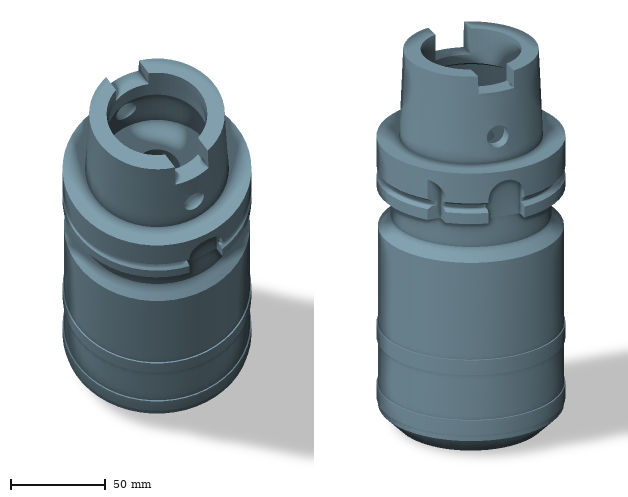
import cadquery as cq
import math

TOTAL_LENGTH = 215.0
NOSE_BEVEL_HEIGHT = 9.9
BODY_TOP_Z = 113.0
NECK_START_Z = 119.3
FLANGE_BOTTOM_Z = 135.9
FLANGE_TOP_Z = 165.1

NOSE_RADIUS = 39.3
BODY_RADIUS = 49.2
NECK_RADIUS = 42.5
FLANGE_DIAMETER = 100.0
FLANGE_RADIUS = FLANGE_DIAMETER / 2
SHANK_BASE_RADIUS = 38.0
SHANK_TOP_RADIUS = 36.0

BAND_RADIUS = FLANGE_RADIUS
BAND_HEIGHT = 8.5
BAND_BOTTOMS = (13.5, 48.4)

GROOVE_RADIUS = 46.0
GROOVE_MID_Z = 145.0
GROOVE_FLOOR_WIDTH = 2.8
GROOVE_MOUTH_WIDTH = 5.8
GROOVE_BEVEL_DEPTH = 2.0

ENTRY_RADIUS = 26.7
ENTRY_DEPTH = 20.0
UNDERCUT_RADIUS = 31.4
UNDERCUT_ANGLE = 30.0
BORE_FLOOR_Z = FLANGE_TOP_Z
POCKET_RADIUS = 12.3
POCKET_DEPTH = 21.5
THROUGH_RADIUS = 6.2

KEY_WIDTH = 20.5
SHALLOW_SLOT_DEPTH = 9.9
DEEP_SLOT_DEPTH = 15.0
ACCESS_RADIUS = 6.2
ACCESS_Z = 179.7

KEYWAY_TOP_Z = 159.7
KEYWAY_FLOOR_X = 43.0
INDEX_FLOOR_X = 32.2
INDEX_CENTER_Y = 41.0


def revolve(outline):
    """Turn an outline of (radius, height) points about the Z axis."""
    return cq.Workplane("XZ").polyline(outline).close().revolve(360, (0, 0), (0, 1))


def outer_body():
    outline = [
        (0, 0),
        (NOSE_RADIUS, 0),
        (BODY_RADIUS, NOSE_BEVEL_HEIGHT),
        (BODY_RADIUS, BODY_TOP_Z),
        (NECK_RADIUS, NECK_START_Z),
        (NECK_RADIUS, FLANGE_BOTTOM_Z),
        (FLANGE_RADIUS, FLANGE_BOTTOM_Z),
        (FLANGE_RADIUS, FLANGE_TOP_Z),
        (SHANK_BASE_RADIUS, FLANGE_TOP_Z),
        (SHANK_TOP_RADIUS, TOTAL_LENGTH),
        (0, TOTAL_LENGTH),
    ]
    return revolve(outline)


def band(bottom_z):
    return cq.Workplane("XY").workplane(offset=bottom_z).circle(BAND_RADIUS).extrude(BAND_HEIGHT)


def gripper_groove():
    half_floor = GROOVE_FLOOR_WIDTH / 2
    half_mouth = GROOVE_MOUTH_WIDTH / 2
    bevel_radius = FLANGE_RADIUS - GROOVE_BEVEL_DEPTH
    return revolve([
        (GROOVE_RADIUS, GROOVE_MID_Z - half_floor),
        (bevel_radius, GROOVE_MID_Z - half_floor),
        (FLANGE_RADIUS, GROOVE_MID_Z - half_mouth),
        (FLANGE_RADIUS, GROOVE_MID_Z + half_mouth),
        (bevel_radius, GROOVE_MID_Z + half_floor),
        (GROOVE_RADIUS, GROOVE_MID_Z + half_floor),
    ])


def shank_bore():
    entry_end_z = TOTAL_LENGTH - ENTRY_DEPTH
    cone_height = (UNDERCUT_RADIUS - ENTRY_RADIUS) / math.tan(math.radians(90 - UNDERCUT_ANGLE))
    pocket_floor_z = BORE_FLOOR_Z - POCKET_DEPTH
    return revolve([
        (0, 0),
        (THROUGH_RADIUS, 0),
        (THROUGH_RADIUS, pocket_floor_z),
        (POCKET_RADIUS, pocket_floor_z),
        (POCKET_RADIUS, BORE_FLOOR_Z),
        (UNDERCUT_RADIUS, BORE_FLOOR_Z),
        (UNDERCUT_RADIUS, entry_end_z - cone_height),
        (ENTRY_RADIUS, entry_end_z),
        (ENTRY_RADIUS, TOTAL_LENGTH),
        (0, TOTAL_LENGTH),
    ])


def drive_slot(depth, side):
    """Cut from the axis through the shank wall; side is -1 for -X and +1 for +X."""
    return (
        cq.Workplane("XY").box(FLANGE_RADIUS, KEY_WIDTH, depth)
        .translate((side * FLANGE_RADIUS / 2, 0, TOTAL_LENGTH - depth / 2))
    )


def access_holes():
    return (
        cq.Workplane("YZ").center(0, ACCESS_Z).circle(ACCESS_RADIUS)
        .extrude(FLANGE_RADIUS, both=True)
    )


def keyway(floor_x, center_y):
    """Round-topped keyway on the -X side, open at the underside of the flange."""
    half_width = KEY_WIDTH / 2
    arch_start_z = KEYWAY_TOP_Z - half_width
    return (
        cq.Workplane("YZ", origin=(-floor_x, center_y, 0))
        .moveTo(-half_width, FLANGE_BOTTOM_Z)
        .lineTo(half_width, FLANGE_BOTTOM_Z)
        .lineTo(half_width, arch_start_z)
        .threePointArc((0, KEYWAY_TOP_Z), (-half_width, arch_start_z))
        .close()
        .extrude(floor_x - FLANGE_RADIUS)
    )


result = outer_body()
for bottom_z in BAND_BOTTOMS:
    result = result.union(band(bottom_z))

main_keyway = keyway(KEYWAY_FLOOR_X, 0)
result = (
    result.cut(gripper_groove())
    .cut(main_keyway)
    .cut(main_keyway.mirror("YZ"))
    .cut(keyway(INDEX_FLOOR_X, INDEX_CENTER_Y))
    .cut(shank_bore())
    .cut(drive_slot(SHALLOW_SLOT_DEPTH, -1))
    .cut(drive_slot(DEEP_SLOT_DEPTH, 1))
    .cut(access_holes())
)